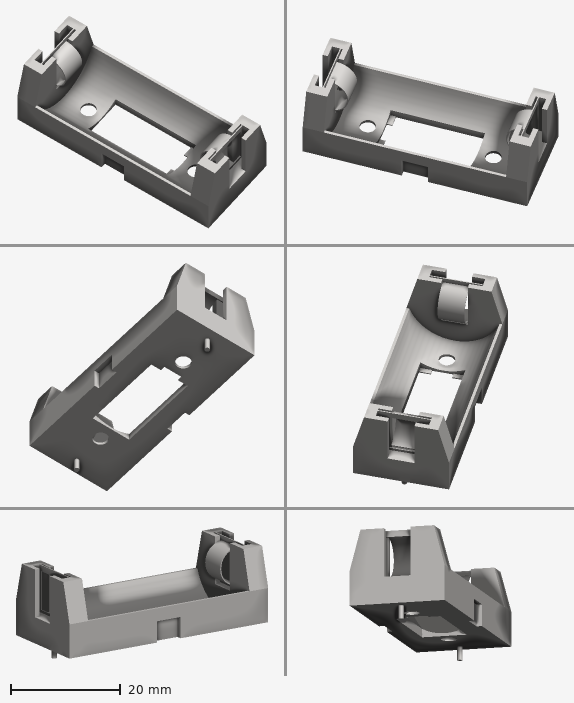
import cadquery as cq


LENGTH = 43.0
WIDTH = 18.0
RIM_HEIGHT = 6.5
TROUGH_RADIUS = 9.0
TROUGH_FLOOR = 0.5

BLOCK_LENGTH = 4.05
BLOCK_HEIGHT = 14.0
BLOCK_TOP_WIDTH = 13.95

POCKET_FLOOR = 5.0
POCKET_INSET = 1.0
POCKET_LENGTH = 2.0
POCKET_WIDTH = 10.0
NOTCH_WIDTH = 5.05

WINDOW_LENGTH = 18.05
WINDOW_WIDTH = 8.45
TAB_LENGTH = 1.05
TAB_GAP = 4.0
TAB_THICKNESS = 0.2
HOLE_DIAMETER = 3.0
HOLE_OFFSET = 12.05
RECESS_LENGTH = 5.07
RECESS_HEIGHT = 4.05
RECESS_DEPTH = 1.05

SHEET = 0.2
PIN_DIAMETER = 1.0
PIN_LENGTH = 2.5
PIN_INSET = 2.5
PLATE_BAR = 0.5
PLATE_WINDOW_BOTTOM = POCKET_FLOOR + PLATE_BAR
PLATE_WINDOW_TOP = 12.85
LEFT_PLATE_FACE = 2.6
RIGHT_PLATE_FACE = 2.7
LEFT_BOW_BOTTOM = 6.0
RIGHT_BOW_BOTTOM = PLATE_WINDOW_BOTTOM

SIDES = (-1, 1)


def box(x_range, y_range, z_range):
    """Box between the given X, Y and Z limits."""
    sizes = [high - low for low, high in (x_range, y_range, z_range)]
    corner = (x_range[0], y_range[0], z_range[0])
    return cq.Workplane("XY").box(*sizes, centered=False).translate(corner)


def centred(size):
    """Limits of a stretch of the given size about zero."""
    return (-size / 2, size / 2)


def from_end(side, near, far):
    """X limits of a stretch measured inwards from the outer end face on one side."""
    return tuple(sorted(side * (LENGTH / 2 - distance) for distance in (near, far)))


def make_trough_body():
    """Low box with the round trough along its whole length."""
    body = box(centred(LENGTH), centred(WIDTH), (0, RIM_HEIGHT))
    trough = (
        cq.Workplane("YZ")
        .center(0, TROUGH_FLOOR + TROUGH_RADIUS)
        .circle(TROUGH_RADIUS)
        .extrude(LENGTH / 2, both=True)
    )
    return body.cut(trough)


def make_end_block(side):
    """Solid end block that tapers above the rim."""
    outline = [
        (-WIDTH / 2, 0),
        (WIDTH / 2, 0),
        (WIDTH / 2, RIM_HEIGHT),
        (BLOCK_TOP_WIDTH / 2, BLOCK_HEIGHT),
        (-BLOCK_TOP_WIDTH / 2, BLOCK_HEIGHT),
        (-WIDTH / 2, RIM_HEIGHT),
    ]
    block = cq.Workplane("YZ").polyline(outline).close().extrude(BLOCK_LENGTH)
    return block.translate((from_end(side, 0, BLOCK_LENGTH)[0], 0, 0))


def make_pin(side, top):
    """Round pin from its lower tip up to the given height."""
    return (
        cq.Workplane("XY", origin=(side * (LENGTH / 2 - PIN_INSET), 0, -PIN_LENGTH))
        .circle(PIN_DIAMETER / 2)
        .extrude(PIN_LENGTH + top)
    )


def cut_clip_seat(housing, side):
    """Cut the pocket, the notch across the block and the pin hole for one clip."""
    depth = (POCKET_FLOOR, BLOCK_HEIGHT)
    pocket_end = POCKET_INSET + POCKET_LENGTH
    pocket = box(from_end(side, POCKET_INSET, pocket_end), centred(POCKET_WIDTH), depth)
    notch = box(from_end(side, 0, BLOCK_LENGTH), centred(NOTCH_WIDTH), depth)
    return housing.cut(pocket).cut(notch).cut(make_pin(side, POCKET_FLOOR))


def cut_trough_window(housing):
    """Cut the rectangular window, leaving two thin tabs at its right-hand end."""
    window = box(centred(WINDOW_LENGTH), centred(WINDOW_WIDTH), (0, RIM_HEIGHT))
    tab_x = (WINDOW_LENGTH / 2 - TAB_LENGTH, WINDOW_LENGTH / 2)
    tabs = box(tab_x, centred(WINDOW_WIDTH), (0, TAB_THICKNESS))
    tabs = tabs.cut(box(tab_x, centred(TAB_GAP), (0, TAB_THICKNESS)))
    return housing.cut(window.cut(tabs))


def cut_floor_holes(housing):
    """Drill a round hole on each side of the window."""
    holes = (
        cq.Workplane("XY")
        .pushPoints([(side * HOLE_OFFSET, 0) for side in SIDES])
        .circle(HOLE_DIAMETER / 2)
        .extrude(RIM_HEIGHT)
    )
    return housing.cut(holes)


def cut_side_recess(housing, side):
    """Cut the shallow recess, open at the bottom, in the middle of one long side."""
    y_range = sorted((side * WIDTH / 2, side * (WIDTH / 2 - RECESS_DEPTH)))
    return housing.cut(box(centred(RECESS_LENGTH), y_range, (0, RECESS_HEIGHT)))


def make_housing():
    housing = make_trough_body()
    for side in SIDES:
        housing = housing.union(make_end_block(side))
    for side in SIDES:
        housing = cut_clip_seat(housing, side)
        housing = cut_side_recess(housing, side)
    housing = cut_trough_window(housing)
    return cut_floor_holes(housing)


def make_plate(side, plate_face):
    """Upright sheet frame standing on the pocket floor."""
    x_range = from_end(side, plate_face - SHEET, plate_face)
    sheet = box(x_range, centred(POCKET_WIDTH), (POCKET_FLOOR, BLOCK_HEIGHT))
    window_width = POCKET_WIDTH - 2 * PLATE_BAR
    window = box(x_range, centred(window_width), (PLATE_WINDOW_BOTTOM, PLATE_WINDOW_TOP))
    return sheet.cut(window)


def make_bow(side, plate_face, bow_bottom):
    """Half-round strip bulging from the plate towards the cell."""
    inner_radius = (PLATE_WINDOW_TOP - bow_bottom) / 2
    outer_radius = inner_radius + SHEET
    centre_z = bow_bottom + inner_radius
    centre_x = side * (LENGTH / 2 - plate_face)
    inward = -side
    return (
        cq.Workplane("XZ", origin=(centre_x, 0, centre_z))
        .moveTo(0, outer_radius)
        .threePointArc((inward * outer_radius, 0), (0, -outer_radius))
        .lineTo(0, -inner_radius)
        .threePointArc((inward * inner_radius, 0), (0, inner_radius))
        .close()
        .extrude(NOTCH_WIDTH / 2, both=True)
    )


def make_clip(side, plate_face, bow_bottom):
    """One contact clip: plate, bow and solder pin in one piece."""
    plate = make_plate(side, plate_face)
    bow = make_bow(side, plate_face, bow_bottom)
    return plate.union(bow).union(make_pin(side, POCKET_FLOOR))


housing = make_housing()
clips = [
    make_clip(side, plate_face, bow_bottom)
    for side, plate_face, bow_bottom in (
        (-1, LEFT_PLATE_FACE, LEFT_BOW_BOTTOM),
        (1, RIGHT_PLATE_FACE, RIGHT_BOW_BOTTOM),
    )
]

result = cq.Compound.makeCompound([housing.solids().val(), *[clip.solids().val() for clip in clips]])